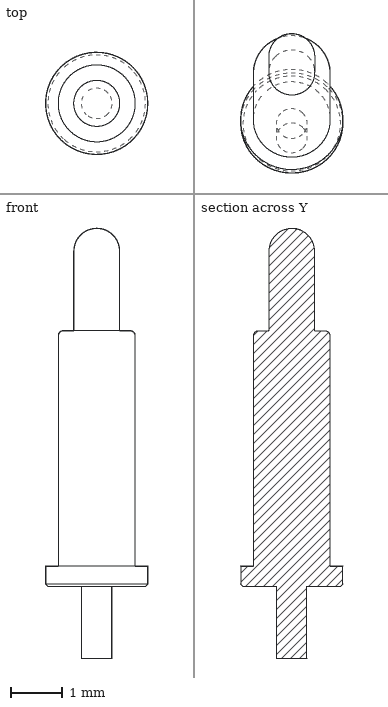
import cadquery as cq

total_height = 8.4
flange_bottom = 1.4
flange_thickness = 0.4
barrel_top = 6.4

tail_diameter = 0.6
flange_diameter = 2.0
barrel_diameter = 1.5
plunger_diameter = 0.9

barrel_fillet = 0.1
flange_chamfer = 0.05


def cylinder(diameter, bottom, top):
    """Upright cylinder on the Z axis between two heights."""
    return cq.Workplane("XY").workplane(offset=bottom).circle(diameter / 2).extrude(top - bottom)


tail = cylinder(tail_diameter, 0, flange_bottom)

flange_top = flange_bottom + flange_thickness
flange = cylinder(flange_diameter, flange_bottom, flange_top).faces("<Z").edges().chamfer(flange_chamfer)

barrel = cylinder(barrel_diameter, flange_top, barrel_top).faces(">Z").edges().fillet(barrel_fillet)

tip_radius = plunger_diameter / 2
tip_center = total_height - tip_radius
plunger_shank = cylinder(plunger_diameter, barrel_top, tip_center)
tip = cq.Workplane("XY").sphere(tip_radius).translate((0, 0, tip_center))

result = tail.union(flange).union(barrel).union(plunger_shank).union(tip)